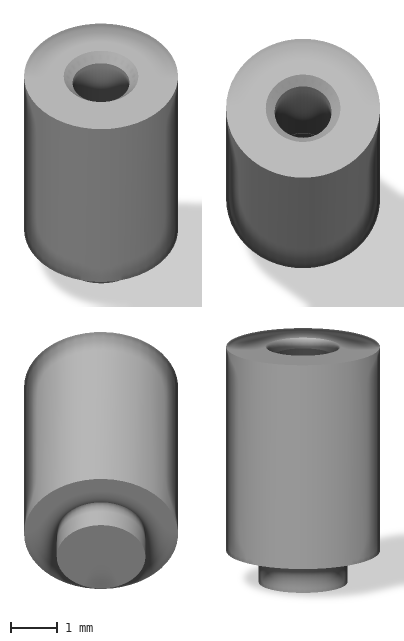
import cadquery as cq

body_diameter = 3.3
body_height = 4.5
pin_diameter = 1.9
pin_height = 0.7
bore_diameter = 1.22
bore_depth = 2.5
pilot_diameter = 1.2
pilot_depth = 3.0
countersink_diameter = 1.6
countersink_depth = (countersink_diameter - bore_diameter) / 2


def make_body():
    """Cylindrical body standing on Z = 0."""
    return cq.Workplane("XY").circle(body_diameter / 2).extrude(body_height)


def make_pin():
    """Locating pin below the body."""
    return cq.Workplane("XY").circle(pin_diameter / 2).extrude(-pin_height)


def make_hole():
    """Blind, flat-bottomed hole: countersink, bore and slightly narrower pilot."""
    top_face = cq.Workplane("XY").workplane(offset=body_height)
    pilot = top_face.circle(pilot_diameter / 2).extrude(-pilot_depth)
    bore = top_face.circle(bore_diameter / 2).extrude(-bore_depth)
    countersink = (
        top_face.circle(countersink_diameter / 2)
        .workplane(offset=-countersink_depth)
        .circle(bore_diameter / 2)
        .loft()
    )
    return pilot.union(bore).union(countersink)


result = make_body().union(make_pin()).cut(make_hole())